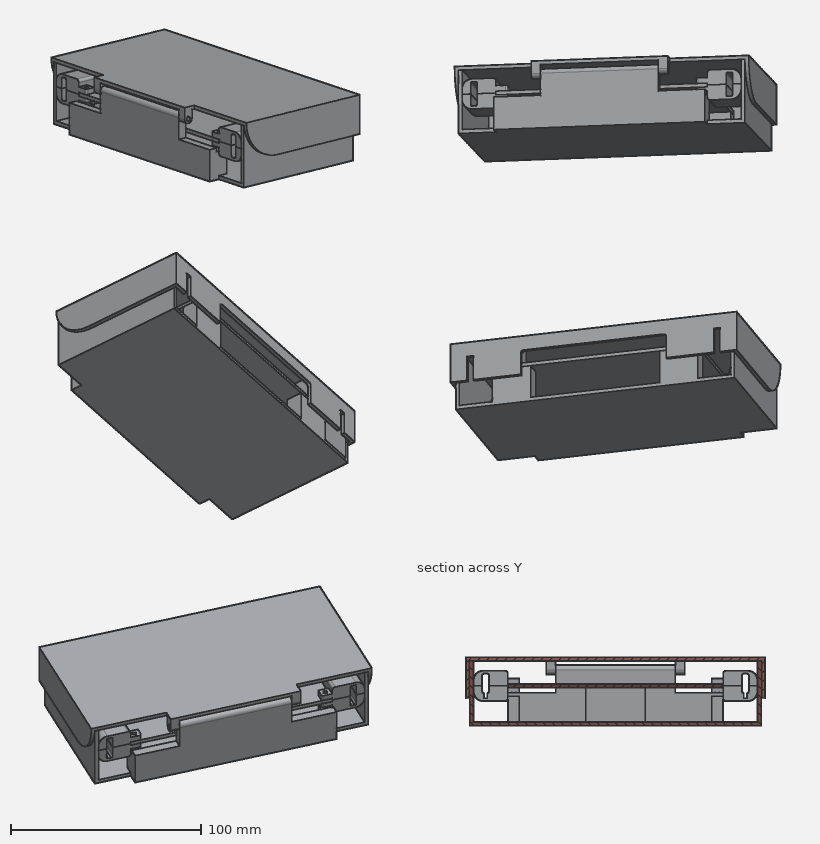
import cadquery as cq

width = 157.4
depth = 85.2
height = 36.0
wall = 2.0
front_y = 6.5
edge_round = 1.0
corner_round = 1.5

lid_drop = 21.5
lid_bottom = height - lid_drop
tab_half = 36.5
ear_width = 5.0
knuckle_depth = 5.0
hinge_z = 29.5
hinge_y = knuckle_depth / 2
hinge_hole = 2.4
lid_under = height - wall
post_inner = 40.5
post_width = 9.0
post_depth = 9.0
opening_half = 40.0
opening_top = 28.0
cable_outer = 69.5
cable_width = 3.5

base_half = width / 2 - wall
rear_gap = 1.0
base_rear = depth - wall - rear_gap
front_half = 56.5
front_top = 17.5
ledge_top = 15.5
knuckle_half = tab_half - ear_width
support_inner = 35.4
rest_half = 15.7

clamp_mid = 21.0
clamp_half_height = 8.0
clamp_outer = base_half - wall
clamp_round = 5.0
clamp_depth = 20.0
lug_length = 6.0
lug_depth = 5.5
upper_lug_height = 3.0
screw_diameter = 2.2
slot_width = 3.5
slot_height = 12.9
slot_x = 68.3
slot_mouth = clamp_depth - wall
neck_width = 1.5
neck_top = 17.2
board_bottom = clamp_mid - wall / 2
board_top = clamp_mid + wall / 2

sides = (-1, 1)
lug_x = front_half - lug_length / 2
lug_y = front_y + lug_depth / 2


def block(x0, x1, y0, y1, z0, z1):
    """Axis-aligned box between two corners; x0 and x1 may come in either order."""
    size = (abs(x1 - x0), y1 - y0, z1 - z0)
    return cq.Workplane().box(*size, centered=False).translate((min(x0, x1), y0, z0))


def hinge_cutter():
    """Cutter along the hinge axis."""
    return (
        cq.Workplane("YZ", origin=(-width / 2, 0, 0))
        .center(hinge_y, hinge_z)
        .circle(hinge_hole / 2)
        .extrude(width)
    )


def screw_hole(side):
    """Vertical cutter through a clamp lug and the board."""
    return (
        cq.Workplane("XY")
        .center(side * lug_x, lug_y)
        .circle(screw_diameter / 2)
        .extrude(height)
    )


def lid_shell():
    """Open-bottomed cover whose front edge sweeps down and back in a quarter circle."""
    arc_end_y = front_y + lid_drop
    shell = (
        cq.Workplane("YZ", origin=(-width / 2, 0, 0))
        .moveTo(front_y, height)
        .radiusArc((arc_end_y, lid_bottom), -lid_drop)
        .lineTo(depth, lid_bottom)
        .lineTo(depth, height)
        .close()
        .extrude(width)
    )
    inside = block(-base_half, base_half, 0, depth - wall, 0, lid_under)
    return shell.cut(inside)


def hinge_barrel(x0, x1):
    """Round hinge end between two X positions, given in either order."""
    return (
        cq.Workplane("YZ", origin=(min(x0, x1), 0, 0))
        .center(hinge_y, hinge_z)
        .circle(knuckle_depth / 2)
        .extrude(abs(x1 - x0))
    )


def lid_ear(side):
    inner = side * knuckle_half
    outer = side * tab_half
    arm = block(inner, outer, 0, knuckle_depth, hinge_z, lid_under)
    return arm.union(hinge_barrel(inner, outer))


def make_lid():
    lid = lid_shell()
    lid = lid.union(block(-tab_half, tab_half, 0, front_y + wall, lid_under, height))
    rear_y = depth - wall
    for side in sides:
        lid = lid.union(lid_ear(side))
        post_outer = post_inner + post_width
        lid = lid.union(
            block(side * post_inner, side * post_outer, rear_y - post_depth, rear_y, board_top, lid_under)
        )
        cable_inner = cable_outer - cable_width
        lid = lid.cut(block(side * cable_inner, side * cable_outer, rear_y, depth, lid_bottom, opening_top))
    opening = block(-opening_half, opening_half, rear_y, depth, 0, opening_top)
    opening = opening.edges("|Y and >Z").fillet(corner_round)
    return lid.cut(opening).cut(hinge_cutter())


def make_base():
    base = block(-base_half, base_half, front_y, base_rear, 0, lid_under)
    base = base.cut(block(-clamp_outer, clamp_outer, 0, depth, wall, height))
    base = base.union(block(-front_half, front_half, 0, knuckle_depth, 0, front_top))
    base = base.union(block(-knuckle_half, knuckle_half, 0, knuckle_depth, 0, hinge_z))
    base = base.union(hinge_barrel(-knuckle_half, knuckle_half))
    base = base.union(block(-front_half, front_half, 0, front_y + wall, 0, wall))
    rest_rear = front_y + lug_depth
    base = base.union(block(-rest_half, rest_half, 0, rest_rear, 0, board_bottom))
    for side in sides:
        base = base.union(
            block(side * (front_half - lug_length), side * front_half, 0, rest_rear, 0, ledge_top)
        )
        base = base.union(
            block(
                side * support_inner,
                side * front_half,
                base_rear - post_depth,
                base_rear,
                0,
                board_bottom,
            )
        )
    return base.cut(hinge_cutter())


def make_board():
    board = block(-front_half, front_half, front_y, base_rear, board_bottom, board_top)
    for side in sides:
        board = board.cut(screw_hole(side))
    return board


def clamp_slot(side):
    """Slot along Y: a full-height mouth, then a round-bottomed slot over a narrow neck
    through the clamp rear wall."""
    z0 = clamp_mid - slot_height / 2
    z1 = clamp_mid + slot_height / 2
    x0 = side * (slot_x - slot_width / 2)
    x1 = side * (slot_x + slot_width / 2)
    rear = front_y + clamp_depth
    mouth = block(x0, x1, front_y, front_y + slot_mouth, z0, z1).edges("|Y").fillet(edge_round)
    passage = block(x0, x1, front_y, rear, neck_top, z1)
    passage = passage.edges("|Y").fillet(edge_round)
    neck_half = neck_width / 2
    neck = block(side * (slot_x - neck_half), side * (slot_x + neck_half), front_y, rear, z0, clamp_mid)
    return mouth.union(passage).union(neck)


def make_clamp(side, upper):
    """One half of a clamp: a rounded body beside the board and a lug screwed to it."""
    rear = front_y + clamp_depth
    body = block(
        side * front_half,
        side * clamp_outer,
        front_y,
        rear,
        clamp_mid - clamp_half_height,
        clamp_mid + clamp_half_height,
    )
    outer, inner = (">X", "<X") if side > 0 else ("<X", ">X")
    body = body.faces(outer).edges("|Y").fillet(clamp_round)
    body = body.faces(inner).edges("|Y").fillet(corner_round)
    body = body.cut(clamp_slot(side))
    if upper:
        body = body.intersect(block(-width, width, 0, depth, clamp_mid, height))
        lug_z0 = board_top
        lug_z1 = board_top + upper_lug_height
    else:
        body = body.intersect(block(-width, width, 0, depth, 0, clamp_mid))
        lug_z0 = front_top
        lug_z1 = board_bottom
    lug = block(
        side * (front_half - lug_length),
        side * front_half,
        front_y,
        front_y + lug_depth,
        lug_z0,
        lug_z1,
    )
    lug = lug.faces(inner).edges("|Z and <Y").fillet(edge_round)
    return body.union(lug).cut(screw_hole(side))


lid = make_lid()
base = make_base()
board = make_board()
clamps = [make_clamp(side, upper) for side in sides for upper in (True, False)]

result = cq.Compound.makeCompound(
    [lid.val(), base.val(), board.val(), *[clamp.val() for clamp in clamps]]
)